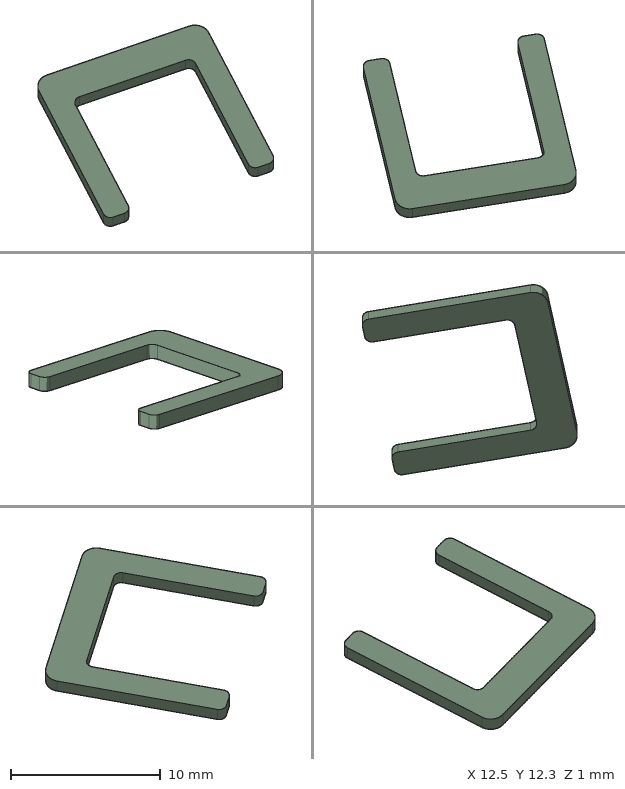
import cadquery as cq

length = 12.5
width = 12.3
thickness = 1.0

back_width = 2.5
arm_width = 1.8

back_corner_radius = 1.0
tip_radius = 0.5
inner_corner_radius = 0.5

slot_length = length - back_width
slot_width = width - 2 * arm_width


def make_blank():
    """Flat plate with rounded corners at the back."""
    plate = cq.Workplane("XY").box(length, width, thickness)
    plate = plate.edges("|Z and <X").fillet(back_corner_radius)
    return plate


def make_slot():
    """Open slot between the arms, with rounded inner corners."""
    slot = (
        cq.Workplane("XY")
        .center(length / 2 - slot_length / 2, 0)
        .box(slot_length, slot_width, thickness)
    )
    return slot.edges("|Z and <X").fillet(inner_corner_radius)


bracket = make_blank().cut(make_slot())
result = bracket.edges("|Z and >X").fillet(tip_radius)